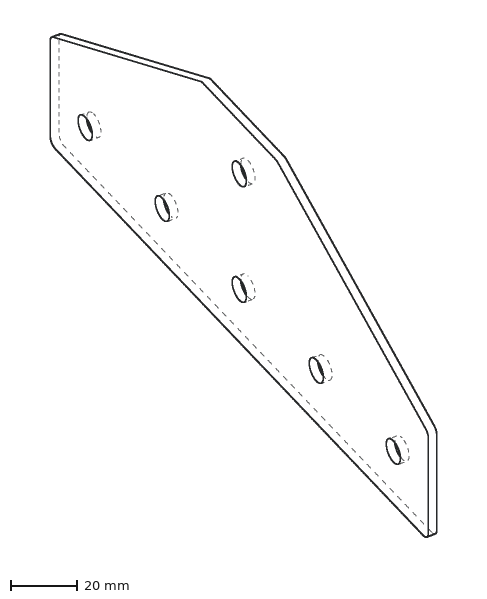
import cadquery as cq

hole_pitch = 45.0
edge_margin = 20.5
thickness = 3.0
hole_diameter = 8.2
corner_radius = 3.0
shoulder_slope = 0.5
top_edge_length = 44.0
row_hole_count = 5

row_length = (row_hole_count - 1) * hole_pitch
half_length = row_length / 2 + edge_margin
height = hole_pitch + 2 * edge_margin
half_top = top_edge_length / 2

bottom = -height / 2
top = height / 2
shoulder = top - shoulder_slope * (half_length - half_top)
row_level = bottom + edge_margin


def make_plate():
    """Plate with a long bottom edge and sloped shoulders, all corners rounded."""
    outline = [
        (-half_length, bottom),
        (half_length, bottom),
        (half_length, shoulder),
        (half_top, top),
        (-half_top, top),
        (-half_length, shoulder),
    ]
    plate = cq.Workplane("XZ").polyline(outline).close().extrude(thickness / 2, both=True)
    return plate.edges("|Y").fillet(corner_radius)


def make_holes():
    """Through holes: a row along the bottom and one above its middle hole."""
    centers = [(-row_length / 2 + i * hole_pitch, row_level) for i in range(row_hole_count)]
    centers.append((0, row_level + hole_pitch))
    holes = cq.Workplane("XZ").pushPoints(centers).circle(hole_diameter / 2)
    return holes.extrude(thickness, both=True)


result = make_plate().cut(make_holes())